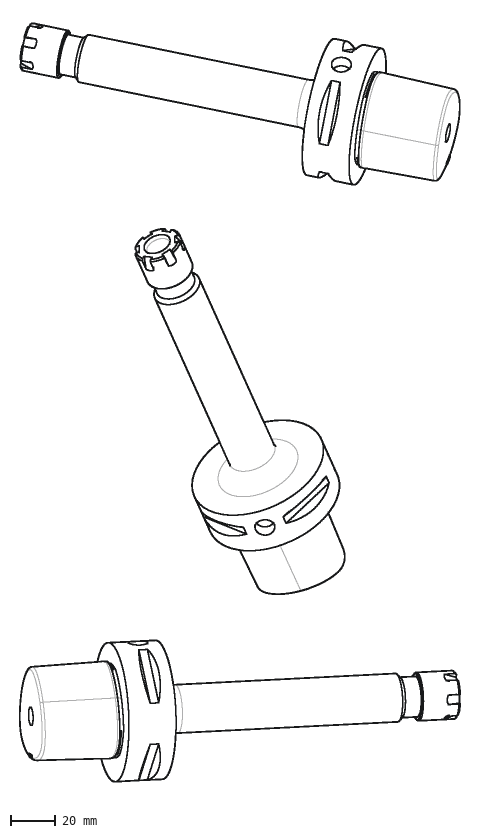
import cadquery as cq
import math

TOTAL_LENGTH = 198.0

NUT_DIAMETER = 22.0
NUT_LENGTH = 18.0
NUT_CHAMFER = 0.8
NUT_REAR_CHAMFER = 0.5
SLOT_COUNT = 6
SLOT_WIDTH = 4.4
SLOT_LENGTH = 6.3
SLOT_FLOOR_RADIUS = 8.5

BORE_DIAMETER = 8.3
MOUTH_DIAMETER = 12.5
SEAT_DIAMETER = 11.0
MOUTH_DEPTH = 1.5
SEAT_DEPTH = 8.0

NECK_DIAMETER = 18.5
NECK_END = 25.3
SHAFT_DIAMETER = NUT_DIAMETER
SHAFT_RADIUS = SHAFT_DIAMETER / 2
SHAFT_CHAMFER = (SHAFT_DIAMETER - NECK_DIAMETER) / 2

FLANGE_DIAMETER = 63.0
FLANGE_RADIUS = FLANGE_DIAMETER / 2
FLANGE_WIDTH = 22.0
FLANGE_END = 160.0
FLANGE_START = FLANGE_END - FLANGE_WIDTH
BLEND_RADIUS = 8.1

GROOVE_X = FLANGE_END - 12.3
GROOVE_COUNT = 4
GROOVE_FLOOR_WIDTH = 4.0
GROOVE_FLOOR_RADIUS = 28.0
GROOVE_FLANK_ANGLE = 30
RIM_HOLE_DIAMETER = 9.0
RIM_HOLE_DEPTH = 6.0

LOBE_COUNT = 3
LOBE_HEIGHT = 1.4
SPLINE_STEPS = 16
SHANK_RADIUS = 22.0
SHANK_END_RADIUS = 21.2
SHANK_NECK_RADIUS = 21.8
SHANK_NECK_END = FLANGE_END + 1.8
TAPER_START = FLANGE_END + 3.0
KEY_HEIGHT = 0.4
SHANK_END = TOTAL_LENGTH - KEY_HEIGHT
SHANK_END_ROUND = 1.2
RELIEF_RADIUS = 22.2
RELIEF_WIDTH = 1.0
LOBE_TIP_RADIUS = SHANK_RADIUS + LOBE_HEIGHT

KEY_WIDTH = 5.0
KEY_THICKNESS = 1.0
KEY_Z = -18.0


def make_turned_body():
    """Nut, neck, shaft and flange as one revolved profile."""
    nut_radius = NUT_DIAMETER / 2
    neck_radius = NECK_DIAMETER / 2
    blend_start = FLANGE_START - BLEND_RADIUS
    blend_middle = (
        blend_start + BLEND_RADIUS * math.sin(math.pi / 4),
        SHAFT_RADIUS + BLEND_RADIUS - BLEND_RADIUS * math.cos(math.pi / 4),
    )
    return (
        cq.Workplane("XY")
        .moveTo(0, 0)
        .lineTo(0, nut_radius - NUT_CHAMFER)
        .lineTo(NUT_CHAMFER, nut_radius)
        .lineTo(NUT_LENGTH - NUT_REAR_CHAMFER, nut_radius)
        .lineTo(NUT_LENGTH, nut_radius - NUT_REAR_CHAMFER)
        .lineTo(NUT_LENGTH, neck_radius)
        .lineTo(NECK_END, neck_radius)
        .lineTo(NECK_END + SHAFT_CHAMFER, SHAFT_RADIUS)
        .lineTo(blend_start, SHAFT_RADIUS)
        .threePointArc(blend_middle, (FLANGE_START, SHAFT_RADIUS + BLEND_RADIUS))
        .lineTo(FLANGE_START, FLANGE_RADIUS)
        .lineTo(FLANGE_END, FLANGE_RADIUS)
        .lineTo(FLANGE_END, 0)
        .close()
        .revolve(360, (0, 0, 0), (1, 0, 0))
    )


def polygon_point(x, mean_radius, angle):
    """Point of the constant-width three-lobed outline, one lobe pointing to +Z."""
    phase = LOBE_COUNT * (angle - math.pi / 2)
    reach = mean_radius + LOBE_HEIGHT * math.cos(phase)
    slide = -LOBE_COUNT * LOBE_HEIGHT * math.sin(phase)
    y = reach * math.cos(angle) - slide * math.sin(angle)
    z = reach * math.sin(angle) + slide * math.cos(angle)
    return cq.Vector(x, y, z)


def polygon_wire(x, mean_radius):
    """Closed outline of one spline per lobe, joined at the middle of the flats."""
    lobe_span = 2 * math.pi / LOBE_COUNT
    edges = []
    for lobe in range(LOBE_COUNT):
        start = math.pi / 2 + (lobe + 0.5) * lobe_span
        points = [
            polygon_point(x, mean_radius, start + lobe_span * step / SPLINE_STEPS)
            for step in range(SPLINE_STEPS + 1)
        ]
        end = start + lobe_span
        tangents = [
            cq.Vector(0, -math.sin(start), math.cos(start)),
            cq.Vector(0, -math.sin(end), math.cos(end)),
        ]
        edges.append(cq.Edge.makeSpline(points, tangents=tangents))
    return cq.Wire.assembleEdges(edges)


def polygon_prism(x_start, x_end, radius_start, radius_end):
    """Ruled solid between two lobed outlines."""
    wires = [polygon_wire(x_start, radius_start), polygon_wire(x_end, radius_end)]
    return cq.Workplane(obj=cq.Solid.makeLoft(wires, True))


def make_shank_neck():
    """Straight polygon with its lobes turned down next to the flange."""
    turning_limit = (
        cq.Workplane("XY")
        .moveTo(FLANGE_END, 0)
        .lineTo(FLANGE_END, RELIEF_RADIUS)
        .lineTo(FLANGE_END + RELIEF_WIDTH, RELIEF_RADIUS)
        .lineTo(SHANK_NECK_END, LOBE_TIP_RADIUS)
        .lineTo(SHANK_NECK_END, 0)
        .close()
        .revolve(360, (0, 0, 0), (1, 0, 0))
    )
    neck = polygon_prism(FLANGE_END, SHANK_NECK_END, SHANK_NECK_RADIUS, SHANK_NECK_RADIUS)
    return neck.intersect(turning_limit)


def make_shank():
    """Relieved neck, straight band, then the taper with a rounded far edge."""
    band = polygon_prism(SHANK_NECK_END, TAPER_START, SHANK_RADIUS, SHANK_RADIUS)
    taper = polygon_prism(TAPER_START, SHANK_END, SHANK_RADIUS, SHANK_END_RADIUS)
    taper = taper.faces(">X").edges().fillet(SHANK_END_ROUND)
    return make_shank_neck().union(band).union(taper)


def make_end_key():
    """Small raised key, rooted below the rounded edge of the shank."""
    length = SHANK_END_ROUND + KEY_HEIGHT
    return (
        cq.Workplane("XY")
        .box(length, KEY_WIDTH, KEY_THICKNESS)
        .translate((TOTAL_LENGTH - length / 2, 0, KEY_Z))
    )


def cut_nut_slots(body):
    """Spanner slots whose flat floors rise from the nut face and run out at its rim."""
    nut_radius = NUT_DIAMETER / 2
    slot = (
        cq.Workplane("XZ")
        .moveTo(0, SLOT_FLOOR_RADIUS)
        .lineTo(SLOT_LENGTH, nut_radius)
        .lineTo(0, nut_radius)
        .close()
        .extrude(SLOT_WIDTH / 2, both=True)
    )
    for index in range(SLOT_COUNT):
        angle = 90 + index * 360 / SLOT_COUNT
        turned = slot.rotate((0, 0, 0), (1, 0, 0), angle)
        body = body.cut(turned)
    return body


def cut_gripper_grooves(body):
    """Flat-bottomed V grooves running straight across the rim on the diagonals."""
    depth = FLANGE_RADIUS - GROOVE_FLOOR_RADIUS
    half_floor = GROOVE_FLOOR_WIDTH / 2
    half_top = half_floor + depth * math.tan(math.radians(GROOVE_FLANK_ANGLE))
    groove = (
        cq.Workplane("XZ")
        .moveTo(GROOVE_X - half_floor, GROOVE_FLOOR_RADIUS)
        .lineTo(GROOVE_X + half_floor, GROOVE_FLOOR_RADIUS)
        .lineTo(GROOVE_X + half_top, FLANGE_RADIUS)
        .lineTo(GROOVE_X - half_top, FLANGE_RADIUS)
        .close()
        .extrude(FLANGE_RADIUS, both=True)
    )
    for index in range(GROOVE_COUNT):
        angle = (index + 0.5) * 360 / GROOVE_COUNT
        turned = groove.rotate((0, 0, 0), (1, 0, 0), angle)
        body = body.cut(turned)
    return body


def cut_rim_holes(body):
    """Blind radial holes on the +Z and -Z sides of the rim."""
    hole = (
        cq.Workplane("XY", origin=(GROOVE_X, 0, FLANGE_RADIUS - RIM_HOLE_DEPTH))
        .circle(RIM_HOLE_DIAMETER / 2)
        .extrude(RIM_HOLE_DEPTH)
    )
    return body.cut(hole).cut(hole.mirror("XY"))


def cut_bore(body):
    """Through bore that opens towards the nut face in two cones."""
    bore = (
        cq.Workplane("XY")
        .moveTo(0, 0)
        .lineTo(0, MOUTH_DIAMETER / 2)
        .lineTo(MOUTH_DEPTH, SEAT_DIAMETER / 2)
        .lineTo(SEAT_DEPTH, BORE_DIAMETER / 2)
        .lineTo(TOTAL_LENGTH, BORE_DIAMETER / 2)
        .lineTo(TOTAL_LENGTH, 0)
        .close()
        .revolve(360, (0, 0, 0), (1, 0, 0))
    )
    return body.cut(bore)


shank = make_shank().union(make_end_key())
body = make_turned_body().union(shank)
body = cut_nut_slots(body)
body = cut_gripper_grooves(body)
body = cut_rim_holes(body)
result = cut_bore(body)